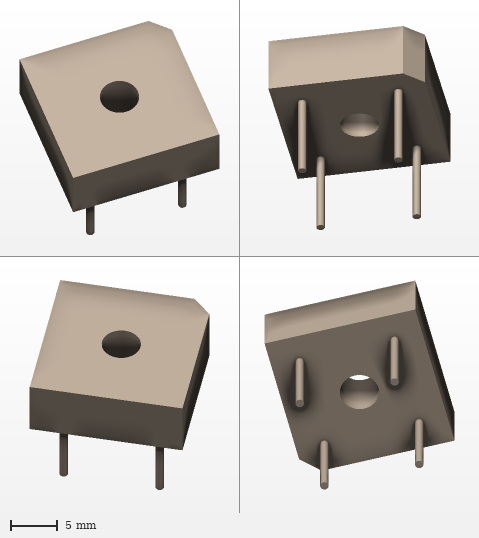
import cadquery as cq

body_side = 16.7
overall_height = 15.4
body_height = 6.3
corner_chamfer = 1.98
hole_diameter = 4.2

lead_diameter = 0.9
lead_spacing = 10.5
lead_length = overall_height - body_height


def make_body():
    """Square block with its -X, +Y corner cut off and a central mounting hole."""
    block = cq.Workplane("XY").rect(body_side, body_side).extrude(body_height)
    block = block.edges("|Z and <X and >Y").chamfer(corner_chamfer)
    return block.faces(">Z").workplane(centerOption="ProjectedOrigin").hole(hole_diameter)


def make_leads():
    """Four round leads hanging from the underside on a square pattern."""
    return (
        cq.Workplane("XY")
        .rect(lead_spacing, lead_spacing, forConstruction=True)
        .vertices()
        .circle(lead_diameter / 2)
        .extrude(-lead_length)
    )


result = make_body().union(make_leads())